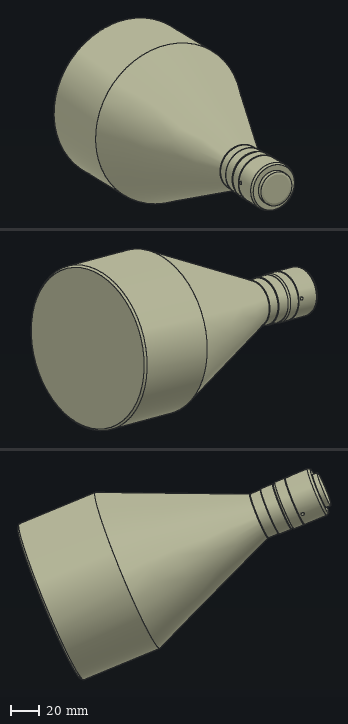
import cadquery as cq
import math

full_turn = 360.0

barrel_radius = 60.0
barrel_length = 60.0
barrel_chamfer = 1.5

total_length = 211.7
thread_length = 4.0
flange_x = total_length - thread_length
cone_end_x = 161.0
neck_ring_x = 169.3
neck_ring_end_x = 179.3
clamp_x = 180.8
seam_groove_x = 188.4

neck_radius = 17.0
neck_ring_radius = 17.5
clamp_radius = 18.0
neck_ring_chamfer = neck_ring_radius - neck_radius
rear_chamfer_length = 1.9
rear_chamfer_drop = 1.0
thread_radius = 12.7
thread_chamfer_length = 0.5
thread_chamfer_drop = 1.8

seam_width = 0.5
seam_depth = 0.25

screw_hole_count = 3
screw_hole_diameter = 2.3
screw_hole_depth = 3.0
screw_cutter_length = 2 * screw_hole_depth
screw_hole_x = 191.6
first_screw_angle = 55.0


def turned_body():
    """Revolve the stepped outline about the X axis."""
    outline = [
        (0, 0),
        (0, barrel_radius - barrel_chamfer),
        (barrel_chamfer, barrel_radius),
        (barrel_length, barrel_radius),
        (cone_end_x, neck_radius),
        (neck_ring_x, neck_radius),
        (neck_ring_x + neck_ring_chamfer, neck_ring_radius),
        (neck_ring_end_x - neck_ring_chamfer, neck_ring_radius),
        (neck_ring_end_x, neck_radius),
        (clamp_x, clamp_radius),
        (flange_x - rear_chamfer_length, clamp_radius),
        (flange_x, clamp_radius - rear_chamfer_drop),
        (flange_x, thread_radius),
        (total_length - thread_chamfer_length, thread_radius),
        (total_length, thread_radius - thread_chamfer_drop),
        (total_length, 0),
    ]
    profile = cq.Workplane("XZ").polyline(outline).close()
    return profile.revolve(full_turn, (0, 0, 0), (1, 0, 0))


def seam_groove(start_x, surface_radius):
    """Ring that cuts a shallow square groove into a cylindrical stage."""
    outer = cq.Workplane("YZ", origin=(start_x, 0, 0)).circle(surface_radius + seam_depth)
    return outer.circle(surface_radius - seam_depth).extrude(seam_width)


def screw_hole(angle):
    """Radial blind hole at the given angle around the X axis."""
    direction = cq.Vector(0, math.cos(math.radians(angle)), math.sin(math.radians(angle)))
    floor = direction * (clamp_radius - screw_hole_depth) + cq.Vector(screw_hole_x, 0, 0)
    cutter = cq.Solid.makeCylinder(screw_hole_diameter / 2, screw_cutter_length, floor, direction)
    return cq.Workplane(cutter)


result = turned_body()
result = result.cut(seam_groove(cone_end_x, neck_radius))
result = result.cut(seam_groove(seam_groove_x, clamp_radius))
for index in range(screw_hole_count):
    result = result.cut(screw_hole(first_screw_angle + index * full_turn / screw_hole_count))